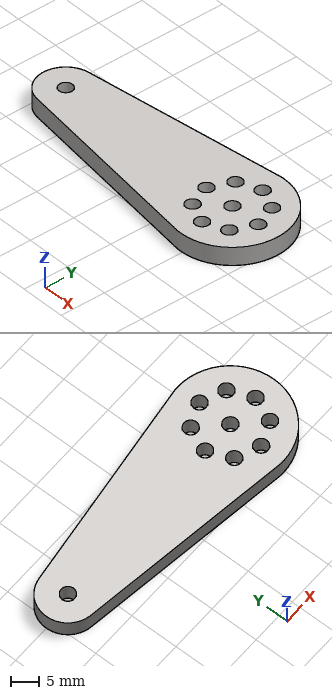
import cadquery as cq
import math

length = 63.0
width = 24.0
thickness = 4.0
small_radius = 6.0
side_setback = 0.8
hole_diameter = 3.0
bolt_circle_radius = 7.0
bolt_count = 8

large_radius = width / 2
center_distance = length - small_radius - large_radius


def arc_height(radius, offset):
    """Half-width of an end arc at an X offset from its centre."""
    return math.sqrt(radius**2 - offset**2)


small_height = arc_height(small_radius, side_setback)
large_height = arc_height(large_radius, side_setback)
large_join_x = center_distance - side_setback

lead_in_offset = side_setback / 2
lead_in_x = center_distance - lead_in_offset
lead_in_height = arc_height(large_radius, lead_in_offset)

plate = (
    cq.Workplane("XY")
    .moveTo(-side_setback, -small_height)
    .lineTo(large_join_x, -large_height)
    .threePointArc((lead_in_x, -lead_in_height), (center_distance, -large_radius))
    .threePointArc((center_distance + large_radius, 0), (center_distance, large_radius))
    .threePointArc((lead_in_x, lead_in_height), (large_join_x, large_height))
    .lineTo(-side_setback, small_height)
    .threePointArc((-small_radius, 0), (-side_setback, -small_height))
    .close()
    .extrude(thickness, clean=False)
)

hole_centers = [(0, 0), (center_distance, 0)]
for index in range(bolt_count):
    angle = 2 * math.pi * index / bolt_count
    hole_x = center_distance + bolt_circle_radius * math.cos(angle)
    hole_y = bolt_circle_radius * math.sin(angle)
    hole_centers.append((hole_x, hole_y))

holes = cq.Workplane("XY").pushPoints(hole_centers).circle(hole_diameter / 2).extrude(thickness)

result = plate.cut(holes, clean=False)